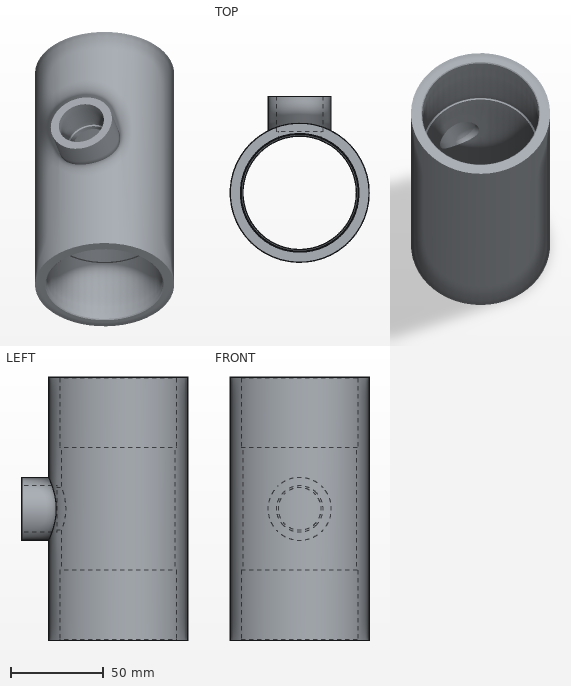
import cadquery as cq

RUN_LENGTH = 142.0
RUN_OUTER_DIAMETER = 75.0
RUN_BORE_DIAMETER = 61.0
RUN_SOCKET_DIAMETER = 63.0
RUN_SOCKET_DEPTH = 38.0
RUN_MOUTH_CHAMFER = 0.5
CHAMFER_ANGLE = 45.0

BRANCH_OUTER_DIAMETER = 34.0
BRANCH_BORE_DIAMETER = 23.0
BRANCH_SOCKET_DIAMETER = 25.0
BRANCH_SOCKET_DEPTH = 19.0
BRANCH_REACH = 52.0


def run_cylinder(diameter, bottom, height):
    """Cylinder on the run axis, rising from the height `bottom`."""
    return cq.Workplane("XY", origin=(0, 0, bottom)).circle(diameter / 2).extrude(height)


def branch_cylinder(diameter, start, length):
    """Cylinder on the branch axis, going outward (+Y) from `start`."""
    return cq.Workplane("XZ", origin=(0, start, 0)).circle(diameter / 2).extrude(-length)


def outer_body():
    """Solid run with the solid branch stub joined to it."""
    run = run_cylinder(RUN_OUTER_DIAMETER, -RUN_LENGTH / 2, RUN_LENGTH)
    return run.union(branch_cylinder(BRANCH_OUTER_DIAMETER, 0, BRANCH_REACH))


def run_cavity():
    """Through bore with a chamfered pipe socket at each end."""
    bore = run_cylinder(RUN_BORE_DIAMETER, -RUN_LENGTH / 2, RUN_LENGTH)
    top_socket = run_cylinder(RUN_SOCKET_DIAMETER, RUN_LENGTH / 2 - RUN_SOCKET_DEPTH, RUN_SOCKET_DEPTH)
    mouth_radius = RUN_SOCKET_DIAMETER / 2 + RUN_MOUTH_CHAMFER
    mouth = (
        cq.Workplane("XY", origin=(0, 0, RUN_LENGTH / 2))
        .circle(mouth_radius)
        .extrude(-RUN_MOUTH_CHAMFER, taper=CHAMFER_ANGLE)
    )
    top_socket = top_socket.union(mouth)
    bottom_socket = top_socket.mirror("XY")
    return bore.union(top_socket).union(bottom_socket)


def branch_cavity():
    """Bore into the run with a pipe socket at the outer end."""
    bore = branch_cylinder(BRANCH_BORE_DIAMETER, 0, BRANCH_REACH)
    socket = branch_cylinder(BRANCH_SOCKET_DIAMETER, BRANCH_REACH - BRANCH_SOCKET_DEPTH, BRANCH_SOCKET_DEPTH)
    return bore.union(socket)


result = outer_body().cut(run_cavity()).cut(branch_cavity())